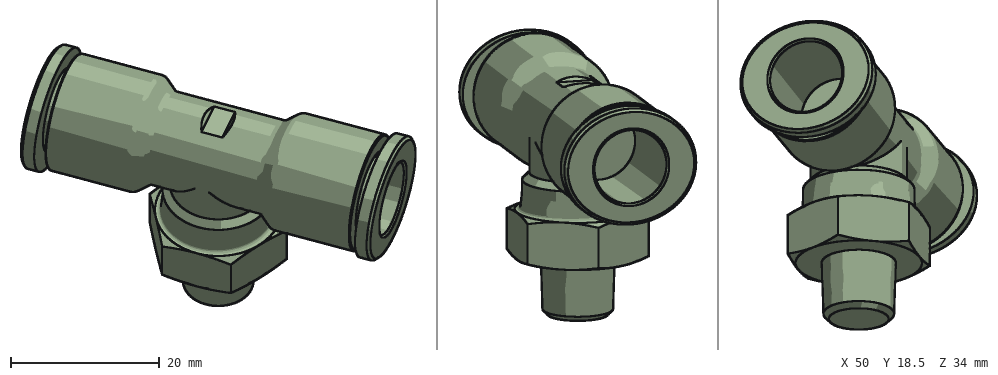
import cadquery as cq
import math


half_length = 25.0
body_radius = 6.5
barrel_radius = 8.15
barrel_end_x = 21.8
barrel_end_chamfer = 0.15
taper_outer_x = 10.0
taper_inner_x = 8.0
taper_blend_radius = 1.0

sleeve_radius = 5.85
collar_thickness = 2.05
collar_half_width = 9.25
collar_half_height = 8.0
collar_chamfer = 0.4

bore_radius = 5.05
bore_end_x = taper_outer_x
bore_chamfer = 0.3

notch_floor_half_length = 1.5
notch_depth = 0.5
notch_side_slope = 1.1

overall_height = 33.95
shoulder_top_z = -6.2
stem_radius = 7.5
cuff_top_z = -8.7
cuff_bottom_z = -10.8
cuff_bottom_radius = 7.7
cuff_fillet = 0.45
hex_top_z = cuff_bottom_z - cuff_fillet
hex_height = 6.5
hex_bottom_z = hex_top_z - hex_height
stem_bottom_z = barrel_radius - overall_height

hex_across_flats = 17.0
hex_chamfer_angle = 20.0

thread_top_radius = 5.0
thread_taper = 1 / 32
thread_chamfer = 0.75


def revolve_about_z(points):
    """Solid of revolution from (radius, z) points."""
    return cq.Workplane("XZ").polyline(points).close().revolve(360, (0, 0, 0), (0, 1, 0))


def make_body():
    """Revolved run of the tee, from one barrel mouth to the other."""
    right_outline = [
        (taper_inner_x, body_radius),
        (taper_outer_x, barrel_radius),
        (barrel_end_x, barrel_radius),
        (barrel_end_x, 0),
    ]
    left_outline = [(-x, radius) for x, radius in reversed(right_outline)]
    body = (
        cq.Workplane("XY")
        .polyline(left_outline + right_outline)
        .close()
        .revolve(360, (0, 0, 0), (1, 0, 0))
        .faces("<X or >X")
        .edges()
        .chamfer(barrel_end_chamfer)
    )
    for corner_x in (-taper_outer_x, -taper_inner_x, taper_inner_x, taper_outer_x):
        corner_box = cq.selectors.BoxSelector(
            (corner_x - 0.5, -half_length, -half_length),
            (corner_x + 0.5, half_length, half_length),
            boundingbox=True,
        )
        body = body.edges(corner_box).fillet(taper_blend_radius)
    return body


def make_collar():
    """Oval release collar and its sleeve on the +X end."""
    collar = (
        cq.Workplane("YZ", origin=(half_length - collar_thickness, 0, 0))
        .ellipse(collar_half_width, collar_half_height)
        .extrude(collar_thickness)
        .faces(">X")
        .edges()
        .chamfer(collar_chamfer)
    )
    sleeve = cq.Workplane("YZ", origin=(taper_outer_x, 0, 0)).circle(sleeve_radius)
    return collar.union(sleeve.extrude(half_length - collar_thickness - taper_outer_x))


def make_bore():
    """Blind tube bore with a chamfered mouth on the +X end."""
    return (
        cq.Workplane("XY")
        .polyline(
            [
                (bore_end_x, 0),
                (bore_end_x, bore_radius),
                (half_length - bore_chamfer, bore_radius),
                (half_length, bore_radius + bore_chamfer),
                (half_length, 0),
            ]
        )
        .close()
        .revolve(360, (0, 0, 0), (1, 0, 0))
    )


def make_stem():
    """Round branch from the run axis down to a concave fillet on the top of the hex."""
    fillet_center_r = cuff_bottom_radius + cuff_fillet
    fillet_mid_offset = cuff_fillet * math.sqrt(0.5)
    return (
        cq.Workplane("XZ")
        .polyline(
            [
                (0, hex_top_z),
                (0, 0),
                (body_radius, 0),
                (body_radius, shoulder_top_z),
                (stem_radius, shoulder_top_z - (stem_radius - body_radius)),
                (stem_radius, cuff_top_z),
                (cuff_bottom_radius, cuff_bottom_z),
            ]
        )
        .threePointArc(
            (fillet_center_r - fillet_mid_offset, cuff_bottom_z - fillet_mid_offset),
            (fillet_center_r, hex_top_z),
        )
        .close()
        .revolve(360, (0, 0, 0), (0, 1, 0))
    )


def make_hex():
    """Hex with flats facing Y and both ends turned down at the corners."""
    flat_radius = hex_across_flats / 2
    corner_radius = flat_radius / math.cos(math.radians(30))
    corner_drop = (corner_radius - flat_radius) * math.tan(math.radians(hex_chamfer_angle))
    prism = (
        cq.Workplane("XY", origin=(0, 0, hex_bottom_z))
        .polygon(6, 2 * corner_radius)
        .extrude(hex_height)
    )
    envelope = revolve_about_z(
        [
            (0, hex_top_z),
            (flat_radius, hex_top_z),
            (corner_radius, hex_top_z - corner_drop),
            (corner_radius, hex_bottom_z + corner_drop),
            (flat_radius, hex_bottom_z),
            (0, hex_bottom_z),
        ]
    )
    return prism.intersect(envelope)


def make_thread():
    """Tapered thread blank with a chamfered tip."""
    tip_z = stem_bottom_z + thread_chamfer
    tip_radius = thread_top_radius - (hex_bottom_z - tip_z) * thread_taper
    return revolve_about_z(
        [
            (0, hex_bottom_z),
            (thread_top_radius, hex_bottom_z),
            (tip_radius, tip_z),
            (tip_radius - thread_chamfer, stem_bottom_z),
            (0, stem_bottom_z),
        ]
    )


def make_notch():
    """Flat-bottomed notch with sloping ends, cut across the top of the body."""
    top_half_length = notch_floor_half_length + notch_depth * notch_side_slope
    floor_z = body_radius - notch_depth
    return (
        cq.Workplane("XZ")
        .polyline(
            [
                (-notch_floor_half_length, floor_z),
                (notch_floor_half_length, floor_z),
                (top_half_length, body_radius),
                (-top_half_length, body_radius),
            ]
        )
        .close()
        .extrude(body_radius, both=True)
    )


collar = make_collar()
bore = make_bore()
run = make_body().union(collar).union(collar.mirror("YZ"))
run = run.cut(bore).cut(bore.mirror("YZ")).cut(make_notch())
result = run.union(make_stem()).union(make_hex()).union(make_thread())